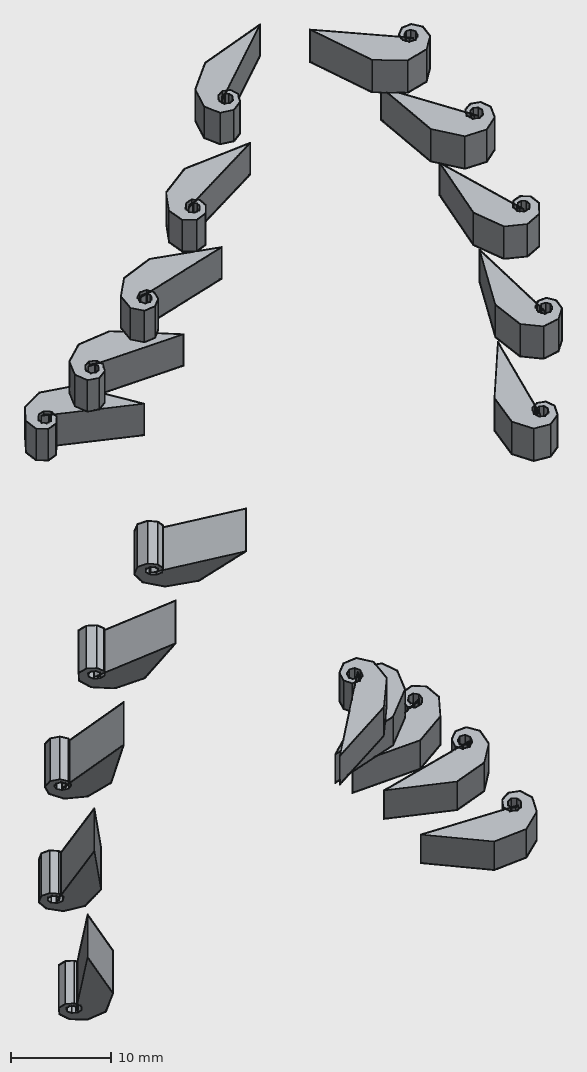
import cadquery as cq
import math

TOTAL_HEIGHT = 45.0
CLAW_COUNT = 5

THICKNESS = TOTAL_HEIGHT / (2 * CLAW_COUNT - 1)
RISE_STEP = 2 * THICKNESS
TURN_STEP = 15.0
RADIUS_STEP = THICKNESS

REACH = 2 * THICKNESS
CORNER_ANGLE = 45.0
CORNERS_PER_TURN = 8
CORNER_COUNT = 20
FIRST_CROSSING = CORNERS_PER_TURN + 1
SECOND_CROSSING = 2 * CORNERS_PER_TURN + 1
WEB_RADIUS = 0.05


def spiral_corner(n):
    angle = math.radians(n * CORNER_ANGLE)
    return cq.Vector(REACH / n * math.cos(angle), REACH / n * math.sin(angle))


def spiral_corners(first, last):
    return [spiral_corner(n) for n in range(first, last + 1)]


def back_edge_crossing(n):
    """Point where the back edge crosses the spiral segment from corner n to corner n + 1."""
    tip = spiral_corner(1)
    back_edge = spiral_corner(CORNER_COUNT) - tip
    start = spiral_corner(n)
    segment = spiral_corner(n + 1) - start
    fraction = (start - tip).cross(segment).z / back_edge.cross(segment).z
    return tip + back_edge * fraction


def prism(corners):
    return cq.Workplane("XY").polyline([c.toTuple()[:2] for c in corners]).close().extrude(THICKNESS)


def web(point):
    return cq.Workplane("XY").center(point.x, point.y).circle(WEB_RADIUS).extrude(THICKNESS)


def make_claw():
    outer_crossing = back_edge_crossing(FIRST_CROSSING)
    inner_crossing = back_edge_crossing(SECOND_CROSSING)

    blade = prism(spiral_corners(1, FIRST_CROSSING) + [outer_crossing])

    eye = prism([outer_crossing] + spiral_corners(FIRST_CROSSING + 1, SECOND_CROSSING) + [inner_crossing])

    curl = prism([inner_crossing] + spiral_corners(SECOND_CROSSING + 1, CORNER_COUNT))

    return blade.cut(eye).union(curl).union(web(outer_crossing)).union(web(inner_crossing))


def place_claw(claw, step):
    moved = claw.translate((step * RADIUS_STEP, 0, step * RISE_STEP))
    return moved.rotate((0, 0, 0), (0, 0, 1), step * TURN_STEP)


claw = make_claw()
claws = [place_claw(claw, step) for step in range(CLAW_COUNT)]

result = cq.Compound.makeCompound([solid for placed in claws for solid in placed.solids().vals()])